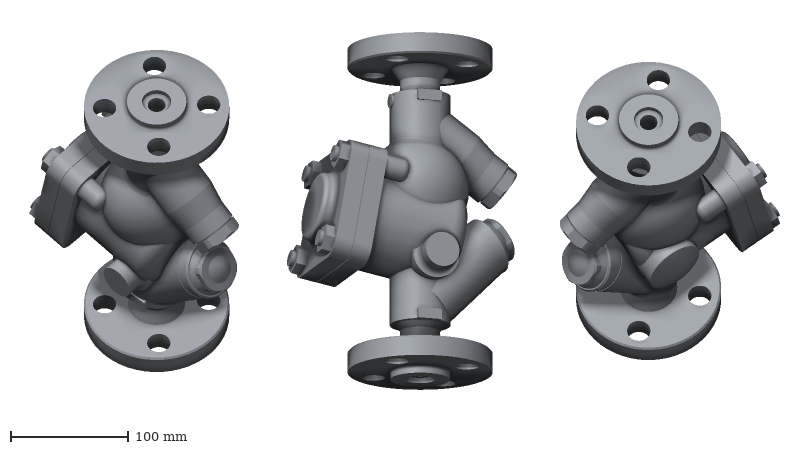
import cadquery as cq
import math


half_height = 148.5
flange_diameter = 124.0
flange_thickness = 17.8
flange_edge_chamfer = 1.5
raised_face_diameter = 50.8
raised_face_height = 6.5
raised_face_fillet = 2.0
neck_base_diameter = 49.0
neck_diameter = 34.5
neck_cone_height = 10.5
neck_straight_height = 7.7
pipe_shoulder_diameter = 42.8
pipe_diameter = 52.0
pipe_half_length = 100.7
flange_hole_diameter = 20.0
flange_hole_spacing = 63.0
bore_diameter = 15.0
bore_depth = half_height - pipe_half_length
counterbore_diameter = 25.0
counterbore_depth = 4.8

lug_width = 21.5
lug_height = 9.2
lug_reach = 27.3
lug_corner_fillet = 1.8
button_diameter = 12.0
button_z = 94.7

bulb_diameter = 91.0
bulb_x = -4.0
bulb_z = 17.2
bulb_neck_fillet = 6.0

cover_tilt = 10.0
cover_axis_z = -20.0
barrel_diameter = 87.5
barrel_end = 31.2
barrel_end_fillet = 14.8
cover_size = 106.0
cover_corner_radius = 14.8
cover_back = -55.0
gasket_station = -71.5
gasket_thickness = 1.0
gasket_inset = 1.0
cover_front = -87.5
cover_boss_diameter = 60.0
cover_boss_height = 10.7
cover_boss_root_fillet = 6.2
cover_boss_edge_fillet = 4.2
bolt_spacing = 76.5
bolt_diameter = 14.0
bolt_end = -99.5
nut_width = 22.3
nut_height = 8.3
bolt_boss_diameter = 20.0
bolt_boss_end = -31.2
bolt_boss_fillet = 6.0

branch_angle = 35.0
plug_width = 37.7
plug_corner_diameter = 41.0
plug_height = 10.0
plug_chamfer = 1.8
plug_seat_diameter = 35.5
plug_seat_height = 1.5

upper_axis_z = 75.0
upper_root_diameter = 48.0
upper_collar_diameter = 41.5
upper_shoulder = 45.5
upper_collar_start = 65.5
upper_collar_end = 80.0

lower_axis_z = -69.2
lower_body_angle = 45.0
lower_body_diameter = 53.0
lower_body_length = 68.3
lower_collar_diameter = 52.0
lower_collar_start = 65.5
lower_collar_end = 77.2
lower_collar_chamfer = 1.5

drain_diameter = 30.0
drain_root_diameter = 41.0
drain_x = 2.7
drain_z = -45.7
drain_reach = 53.5
drain_root_reach = 35.5
dome_diameter = 50.5
dome_x = 6.2
dome_reach = 56.5
dome_height = 7.5


def tilted(shape, downward_angle, axis_z):
    """Turn a shape built along +X down towards -Z and raise its origin to axis_z."""
    return shape.rotate((0, 0, 0), (0, 1, 0), downward_angle).translate((0, 0, axis_z))


def rod(start, end, diameter):
    return cq.Workplane("YZ").workplane(offset=start).circle(diameter / 2).extrude(end - start)


def hexagon(start, height, width, corner_up):
    corner_diameter = width / math.cos(math.pi / 6)
    prism = cq.Workplane("YZ").workplane(offset=start).polygon(6, corner_diameter).extrude(height)
    if corner_up:
        prism = prism.rotate((0, 0, 0), (1, 0, 0), 90)
    return prism



def upper_flange():
    """Flange with its raised face, neck cone and shoulder down to the pipe."""
    face_z = half_height - raised_face_height
    back_z = face_z - flange_thickness
    neck_top = back_z - neck_cone_height
    neck_bottom = neck_top - neck_straight_height
    flange_radius = flange_diameter / 2
    face_radius = raised_face_diameter / 2
    outline = (
        cq.Workplane("XZ")
        .moveTo(0, pipe_half_length)
        .lineTo(pipe_shoulder_diameter / 2, pipe_half_length)
        .lineTo(neck_diameter / 2, neck_bottom)
        .lineTo(neck_diameter / 2, neck_top)
        .lineTo(neck_base_diameter / 2, back_z)
        .lineTo(flange_radius - flange_edge_chamfer, back_z)
        .lineTo(flange_radius, back_z + flange_edge_chamfer)
        .lineTo(flange_radius, face_z)
        .lineTo(face_radius + raised_face_fillet, face_z)
        .radiusArc((face_radius, face_z + raised_face_fillet), raised_face_fillet)
        .lineTo(face_radius, half_height)
        .lineTo(0, half_height)
        .close()
    )
    return outline.revolve(360, (0, 0), (0, 1))


def upper_flange_cuts():
    """Four bolt holes and the stepped bore."""
    top = cq.Workplane("XY", origin=(0, 0, half_height))
    bolt_holes = (
        top.rect(flange_hole_spacing, flange_hole_spacing, forConstruction=True)
        .vertices()
        .circle(flange_hole_diameter / 2)
        .extrude(-raised_face_height - flange_thickness)
    )
    bore = top.circle(bore_diameter / 2).extrude(-bore_depth)
    counterbore = top.circle(counterbore_diameter / 2).extrude(-counterbore_depth)
    return bolt_holes.union(bore).union(counterbore)


def front_upper_lug():
    """Lug on the -Y side, flush with the upper end of the pipe."""
    return (
        cq.Workplane("XZ")
        .center(0, pipe_half_length - lug_height / 2)
        .rect(lug_width, lug_height)
        .extrude(lug_reach)
        .edges("|Y and <Z")
        .fillet(lug_corner_fillet)
    )


def pipe_marks():
    front_upper = front_upper_lug()
    button = rod(-lug_reach, 0, button_diameter).translate((0, 0, button_z))
    return front_upper.union(front_upper.mirror("XZ")).union(front_upper.mirror("XY")).union(button)


def pipe_with_bulb():
    pipe = (
        cq.Workplane("XY", origin=(0, 0, -pipe_half_length))
        .circle(pipe_diameter / 2)
        .extrude(2 * pipe_half_length)
    )
    bulb = cq.Workplane("XY").sphere(bulb_diameter / 2).translate((bulb_x, 0, bulb_z))
    neck_box = cq.selectors.BoxSelector(
        (-pipe_diameter, -pipe_diameter, bulb_z),
        (pipe_diameter, pipe_diameter, pipe_half_length - 3),
    )
    return pipe.union(bulb).edges(neck_box).edges("not |Z").fillet(bulb_neck_fillet)



def cover_plate(start, end, inset=0.0):
    side = cover_size - 2 * inset
    plate = cq.Workplane("YZ").workplane(offset=start).rect(side, side).extrude(end - start)
    return plate.edges("|X").fillet(cover_corner_radius - inset)


def cover_boss():
    """Round boss with a flared root and a rounded rim."""
    radius = cover_boss_diameter / 2
    end = cover_front - cover_boss_height
    outline = (
        cq.Workplane("XZ")
        .moveTo(gasket_station, 0)
        .lineTo(gasket_station, radius + cover_boss_root_fillet)
        .lineTo(cover_front, radius + cover_boss_root_fillet)
        .radiusArc((cover_front - cover_boss_root_fillet, radius), cover_boss_root_fillet)
        .lineTo(end + cover_boss_edge_fillet, radius)
        .radiusArc((end, radius - cover_boss_edge_fillet), -cover_boss_edge_fillet)
        .lineTo(end, 0)
        .close()
    )
    return outline.revolve(360, (0, 0), (1, 0))


def cover_bolt(y_side, z_side):
    """Bolt end and nut; the upper pair also has a round boss behind the plate."""
    nut_start = cover_front - nut_height
    nut = hexagon(nut_start, nut_height, nut_width, corner_up=y_side * z_side < 0)
    bolt = rod(bolt_end, cover_front, bolt_diameter).union(nut)
    if z_side > 0:
        boss = rod(cover_back, bolt_boss_end, bolt_boss_diameter).faces(">X").edges()
        bolt = bolt.union(boss.fillet(bolt_boss_fillet))
    return bolt.translate((0, y_side * bolt_spacing / 2, z_side * bolt_spacing / 2))


def trap_cover():
    gasket_front = gasket_station - gasket_thickness / 2
    gasket_back = gasket_station + gasket_thickness / 2
    barrel = rod(cover_back, barrel_end, barrel_diameter).faces(">X").edges().fillet(barrel_end_fillet)
    shape = barrel.union(cover_plate(gasket_back, cover_back))
    shape = shape.union(cover_plate(gasket_front, gasket_back, gasket_inset))
    shape = shape.union(cover_plate(cover_front, gasket_front))
    shape = shape.union(cover_boss())
    for y_side in (-1, 1):
        for z_side in (-1, 1):
            shape = shape.union(cover_bolt(y_side, z_side))
    return tilted(shape, cover_tilt, cover_axis_z)



def branch_plug(collar_end):
    """Hexagon plug on a round seat, its corners turned down to a cylinder."""
    start = collar_end + plug_seat_height
    seat = rod(collar_end, start, plug_seat_diameter)
    blank = rod(start, start + plug_height, plug_corner_diameter).faces(">X").chamfer(plug_chamfer)
    head = hexagon(start, plug_height, plug_width, corner_up=True).intersect(blank)
    return seat.union(head)


def upper_branch():
    outline = (
        cq.Workplane("XZ")
        .lineTo(0, upper_root_diameter / 2)
        .lineTo(upper_shoulder, upper_root_diameter / 2)
        .lineTo(upper_collar_start, upper_collar_diameter / 2)
        .lineTo(upper_collar_end, upper_collar_diameter / 2)
        .lineTo(upper_collar_end, 0)
        .close()
    )
    branch = outline.revolve(360, (0, 0), (1, 0)).union(branch_plug(upper_collar_end))
    return tilted(branch, branch_angle, upper_axis_z)


def lower_branch():
    """Collar and plug at the branch angle on a steeper round body."""
    collar = rod(lower_collar_start, lower_collar_end, lower_collar_diameter)
    collar = collar.faces(">X").chamfer(lower_collar_chamfer)
    body = rod(-lower_body_length, 0, lower_body_diameter)
    body = body.union(cq.Workplane("XY").sphere(lower_collar_diameter / 2))
    body = body.rotate((0, 0, 0), (0, 1, 0), branch_angle - lower_body_angle)
    body = body.translate((lower_collar_start, 0, 0))
    branch = body.union(collar).union(branch_plug(lower_collar_end))
    return tilted(branch, -branch_angle, lower_axis_z)



def drain_boss():
    """Plain boss on the -Y side with a flared root."""
    radius = drain_diameter / 2
    root_radius = drain_root_diameter / 2
    flare = root_radius - radius
    outline = (
        cq.Workplane("XY")
        .lineTo(root_radius, 0)
        .lineTo(root_radius, -drain_root_reach)
        .radiusArc((radius, -drain_root_reach - flare), -flare)
        .lineTo(radius, -drain_reach)
        .lineTo(0, -drain_reach)
        .close()
    )
    return outline.revolve(360, (0, 0), (0, 1)).translate((drain_x, 0, drain_z))


def dome_boss():
    """Round boss on the +Y side with a shallow domed end."""
    radius = dome_diameter / 2
    rim = dome_reach - dome_height
    dome_radius = (radius**2 + dome_height**2) / (2 * dome_height)
    outline = (
        cq.Workplane("XY")
        .lineTo(radius, 0)
        .lineTo(radius, rim)
        .radiusArc((0, dome_reach), -dome_radius)
        .close()
    )
    return outline.revolve(360, (0, 0), (0, 1)).translate((dome_x, 0, cover_axis_z))


body = pipe_with_bulb()
for component in (trap_cover(), upper_branch(), lower_branch(), drain_boss(), dome_boss(), pipe_marks()):
    body = body.union(component)

flange = upper_flange()
cuts = upper_flange_cuts()
result = body.union(flange).union(flange.mirror("XY")).cut(cuts).cut(cuts.mirror("XY"))